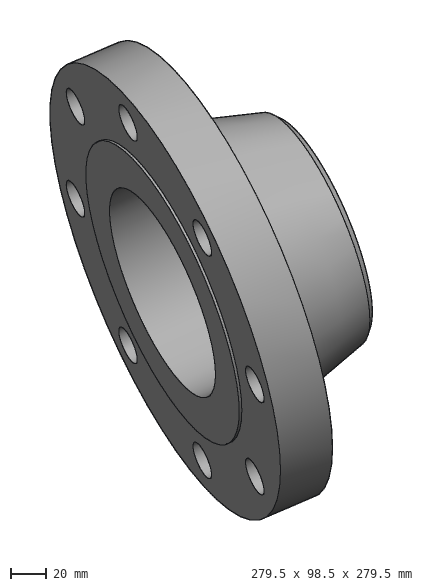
import cadquery as cq

flange_diameter = 279.5
total_length = 98.5
bore_diameter = 128.2

raised_face_diameter = 185.8
raised_face_height = 1.7
flange_thickness = 33.2

neck_base_diameter = 177.7
neck_top_diameter = 142.5
weld_bevel_length = 4.0
weld_end_diameter = 134.0

bolt_count = 8
bolt_hole_diameter = 22.4
bolt_circle_diameter = 235.0

flange_front = raised_face_height
flange_back = flange_front + flange_thickness
neck_top = total_length - weld_bevel_length


def make_body():
    """Revolve the half section, including the bore, about the Y axis."""
    half_section = [
        (bore_diameter / 2, 0),
        (raised_face_diameter / 2, 0),
        (raised_face_diameter / 2, flange_front),
        (flange_diameter / 2, flange_front),
        (flange_diameter / 2, flange_back),
        (neck_base_diameter / 2, flange_back),
        (neck_top_diameter / 2, neck_top),
        (weld_end_diameter / 2, total_length),
        (bore_diameter / 2, total_length),
    ]
    return cq.Workplane("XY").polyline(half_section).close().revolve(360, (0, 0), (0, 1))


def make_bolt_holes():
    """Through holes straddling the X and Z axes."""
    half_pitch_angle = 180 / bolt_count
    return (
        cq.Workplane("XZ")
        .polarArray(bolt_circle_diameter / 2, half_pitch_angle, 360, bolt_count)
        .circle(bolt_hole_diameter / 2)
        .extrude(-total_length)
    )


result = make_body().cut(make_bolt_holes())